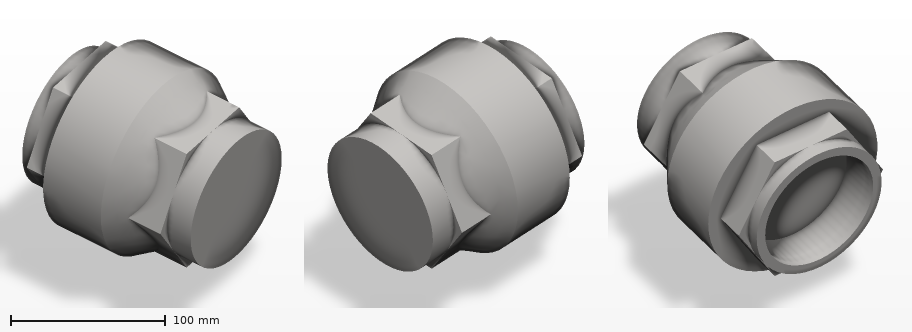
import cadquery as cq
import math

total_length = 136.0
inlet_hex_start = 9.4
body_start = 29.9
body_end = 76.5
outlet_hex_end = 117.2

body_radius = 66.5
collar_radius = 49.1
bore_radius = 42.5
cone_length = 26.4

hex_across_flats = 2 * collar_radius
hex_across_corners = hex_across_flats / math.cos(math.pi / 6)
cone_end = body_end + cone_length
bore_depth = body_start


def section_plane(x):
    """YZ plane at distance x from the inlet face, with the part centred on the origin."""
    return cq.Workplane("YZ", origin=(x - total_length / 2, 0, 0))


def cylinder(start, end, radius):
    return section_plane(start).circle(radius).extrude(end - start)


def hexagon(start, end):
    """Hexagonal prism with corners on +Y and -Y and flats facing +Z and -Z."""
    return section_plane(start).polygon(6, hex_across_corners).extrude(end - start)


def tapered_shoulder():
    """Cone from the body diameter down to the hexagon flats."""
    return (
        section_plane(body_end)
        .circle(body_radius)
        .workplane(offset=cone_end - body_end)
        .circle(collar_radius)
        .loft(ruled=True)
    )


collars = cylinder(0, total_length, collar_radius)
wrench_hex = hexagon(inlet_hex_start, outlet_hex_end)
body = cylinder(body_start, body_end, body_radius)
socket = cylinder(0, bore_depth, bore_radius)

result = collars.union(wrench_hex).union(body).union(tapered_shoulder()).cut(socket)